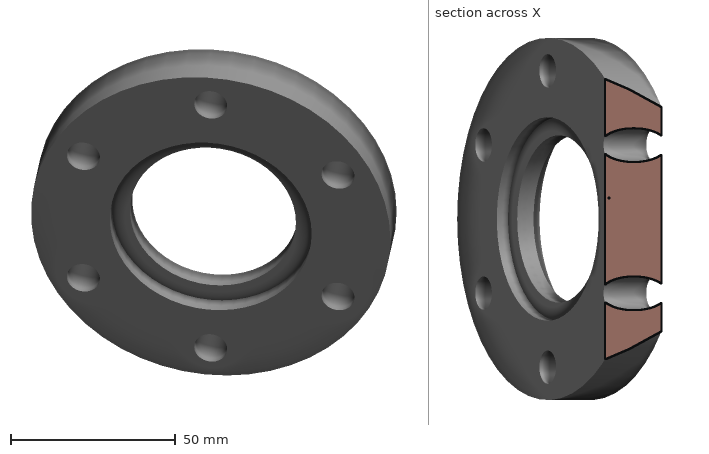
import cadquery as cq

outer_diameter = 110.0
thickness = 15.0
tilt_angle = 30.0

bore_diameter = 50.8
counterbore_diameter = 61.8
front_counterbore_depth = 5.3
back_counterbore_depth = 4.0

bolt_count = 6
bolt_hole_diameter = 10.1
bolt_circle_diameter = 90.0
first_bolt_angle = 90.0


def make_ring():
    """Disc standing upright, centred on the origin, with its front face toward -Y."""
    return (
        cq.Workplane("XZ", origin=(0, thickness / 2, 0))
        .circle(outer_diameter / 2)
        .circle(bore_diameter / 2)
        .extrude(thickness)
    )


def cut_counterbores(body):
    for side, depth in (("<Y", front_counterbore_depth), (">Y", back_counterbore_depth)):
        body = (
            body.faces(side)
            .workplane(origin=(0, 0, 0))
            .circle(counterbore_diameter / 2)
            .cutBlind(-depth)
        )
    return body


def cut_bolt_holes(body):
    return (
        body.faces("<Y")
        .workplane(origin=(0, 0, 0))
        .polarArray(bolt_circle_diameter / 2, first_bolt_angle, 360, bolt_count)
        .hole(bolt_hole_diameter)
    )


flange = cut_bolt_holes(cut_counterbores(make_ring()))
result = flange.rotate((0, 0, 0), (0, 0, 1), tilt_angle)